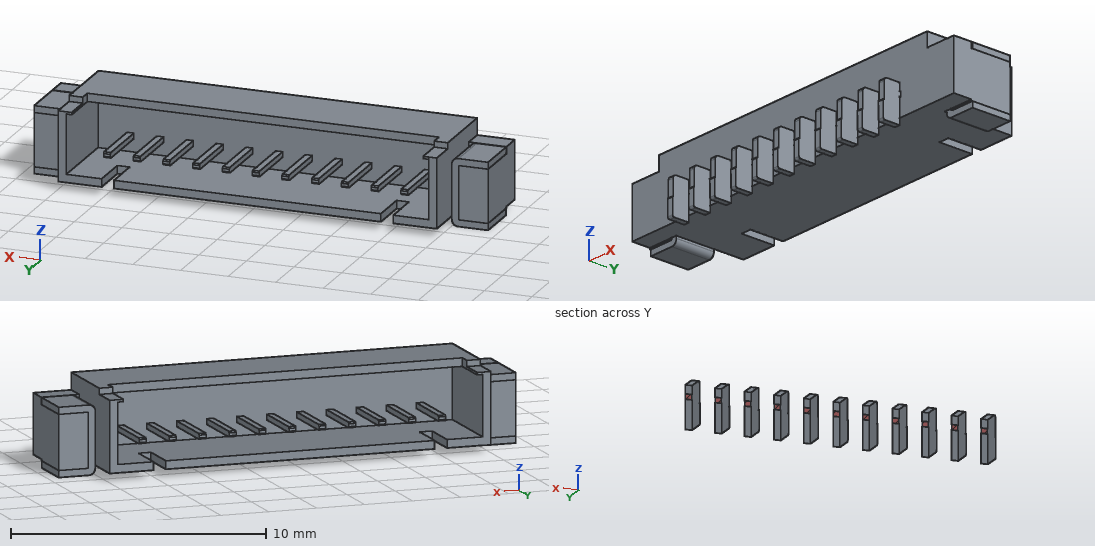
import cadquery as cq

overall_length = 19.08
overall_height = 3.53
standoff = 0.35

shell_length = 15.91
shell_depth = 4.43
wall = 0.35
back_wall = 0.95
roof_depth = 2.7
rail_width = 0.57
rail_step_y = 3.22
rail_step_height = 3.28

keyway_inner = 5.6
keyway_outer = 6.12

wing_depth = 2.94
wing_top = 2.82
tab_slot_y = 0.92

tab_thickness = 0.29
tab_clearance = 0.05
bend_inner_radius = 0.05
bend_outer_radius = 0.27

contact_count = 11
contact_row = 12.5
contact_width = 0.29
beam_bottom = 1.24
beam_thickness = 0.23
beam_tip_y = 3.53
beam_tip_chamfer = 0.05
foot_gap = 0.05
foot_front_y = -0.92
foot_height = 1.83
foot_step_height = 0.88
foot_step = 0.04
foot_top_radius = 0.15
foot_bottom_radius = 0.1

half_shell = shell_length / 2
half_length = overall_length / 2
contact_pitch = contact_row / (contact_count - 1)
web_outer = half_shell + tab_clearance
core_inner = web_outer + tab_thickness
core_bottom = tab_thickness
core_top = wing_top - tab_thickness
tab_y = tab_slot_y + tab_clearance


def block(x0, x1, y0, y1, z0, z1):
    """Axis-aligned box between two corners."""
    return cq.Workplane("XY").box(x1 - x0, y1 - y0, z1 - z0, centered=False).translate((x0, y0, z0))


def make_shell():
    shell = block(-half_shell, half_shell, 0, shell_depth, standoff, overall_height)

    cavity_side = half_shell - wall
    shell = shell.cut(block(-cavity_side, cavity_side, back_wall, shell_depth,
                            standoff + wall, overall_height - wall))

    roof_opening = half_shell - rail_width
    shell = shell.cut(block(-roof_opening, roof_opening, roof_depth, shell_depth,
                            standoff + wall, overall_height))

    shell = shell.cut(block(-half_shell, half_shell, rail_step_y, shell_depth,
                            rail_step_height, overall_height))

    for x0, x1 in ((-keyway_outer, -keyway_inner), (keyway_inner, keyway_outer)):
        shell = shell.cut(block(x0, x1, roof_depth, shell_depth, standoff, standoff + wall))
    return shell


def make_right_wing():
    """Solid root at the front, then a slimmer core that the tab wraps around."""
    root = block(half_shell, half_length, 0, tab_slot_y, standoff, wing_top)
    core = block(core_inner, half_length, tab_slot_y, wing_depth, core_bottom, core_top)
    core = core.edges("|Y and <X").fillet(bend_inner_radius)
    return root.union(core)


def make_right_tab():
    """C-shaped strip, open toward the outer end of the wing."""
    strip = block(web_outer, half_length, tab_y, wing_depth, 0, wing_top)
    strip = strip.edges("|Y and <X").fillet(bend_outer_radius)
    inside = block(core_inner, half_length, tab_y, wing_depth, core_bottom, core_top)
    inside = inside.edges("|Y and <X").fillet(bend_inner_radius)
    return strip.cut(inside)


def make_contact(x):
    """Beam through the back wall with an upright solder foot in front."""
    x0 = x - contact_width / 2
    x1 = x + contact_width / 2

    beam = block(x0, x1, -foot_gap, beam_tip_y, beam_bottom, beam_bottom + beam_thickness)
    beam = beam.faces(">Y").edges("|X").chamfer(beam_tip_chamfer)

    upper_foot = block(x0, x1, foot_front_y + foot_step, -foot_gap, foot_step_height, foot_height)
    upper_foot = upper_foot.edges("|X and <Y and >Z").fillet(foot_top_radius)
    lower_foot = block(x0, x1, foot_front_y, -foot_gap, 0, foot_step_height)
    lower_foot = lower_foot.edges("|X and <Y and <Z").fillet(foot_bottom_radius)
    return beam.union(upper_foot).union(lower_foot)


right_wing = make_right_wing()
housing = make_shell().union(right_wing).union(right_wing.mirror("YZ"))
for i in range(contact_count):
    housing = housing.union(make_contact(i * contact_pitch - contact_row / 2))

right_tab = make_right_tab()
tabs = [right_tab, right_tab.mirror("YZ")]

result = cq.Compound.makeCompound([housing.val(), *[tab.val() for tab in tabs]])